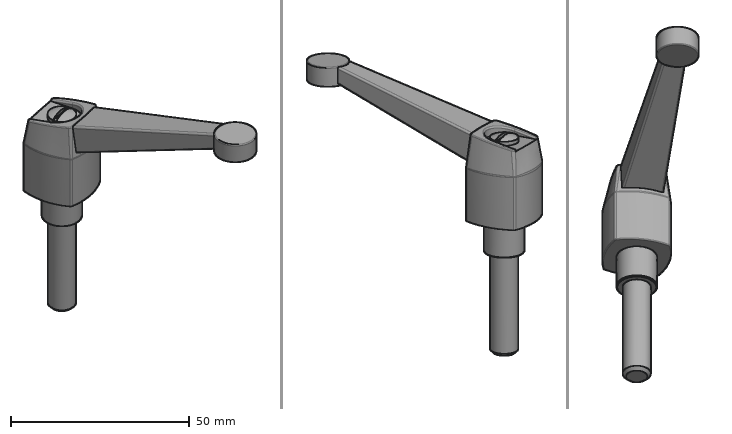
import cadquery as cq
import math


STUD_DIAMETER = 8.0
STUD_BOTTOM = -40.0
STUD_CHAMFER = 1.0
COLLAR_DIAMETER = 11.5
COLLAR_LENGTH = 10.0
COLLAR_CHAMFER = 0.3

HUB_HALF_WIDTH = 9.5
HUB_CORNER = 7.9
SHOULDER_HEIGHT = 16.0
TOP_HALF_LENGTH = 7.15
TOP_CORNER_Y = 7.0
TOP_BULGE_Y = 7.6
TOP_BULGE_RIGHT = 7.4
TOP_CENTER_HEIGHT = 24.65
HUB_TOP_LIMIT = 30.0
TOP_SLOPE = math.tan(math.radians(10.0))
HUB_CORNER_RADIUS = 1.0
SHOULDER_RADIUS = 2.0
SHOULDER_BAND = 0.1
HUB_EDGE_RADIUS = 0.3

POCKET_RADIUS = 5.6
POCKET_FLOOR = 22.9
POCKET_RIM_RADIUS = 0.5
RIM_CLEARANCE = 0.3
HEAD_DIAMETER = 8.1
HEAD_RIM_HEIGHT = 24.1
HEAD_CROWN_HEIGHT = 25.0
HEAD_EMBED = 1.0
SLOT_WIDTH = 1.1
SLOT_FLOOR = 23.9

ARM_ROOT_X = 6.6
ARM_ROOT_HALF_WIDTH = 6.1
ARM_ROOT_BOTTOM = 16.5
ARM_ROOT_TOP = 25.6
ARM_TIP_X = 52.0
ARM_TIP_HALF_WIDTH = 3.25
ARM_TIP_BOTTOM = 31.6
ARM_TIP_TOP = 36.85
ARM_EDGE_RADIUS = 0.6

KNOB_DIAMETER = 12.0
KNOB_X = 57.0
KNOB_BOTTOM = 31.0
KNOB_HEIGHT = 6.0
KNOB_EDGE_RADIUS = 0.3


def top_height(x):
    """Height of the sloping hub top at a given x."""
    return TOP_CENTER_HEIGHT + TOP_SLOPE * x


def bulged_wire(half_length, corner_y, bulge_left, bulge_right, bulge_y, height):
    """Four-sided closed outline with arc sides, lying on the surface z = height(x)."""
    corners = [
        (-half_length, -corner_y),
        (half_length, -corner_y),
        (half_length, corner_y),
        (-half_length, corner_y),
    ]
    middles = [(0, -bulge_y), (bulge_right, 0), (0, bulge_y), (-bulge_left, 0)]

    def lifted(point):
        x, y = point
        return cq.Vector(x, y, height(x))

    edges = []
    for i, middle in enumerate(middles):
        start = lifted(corners[i])
        end = lifted(corners[(i + 1) % len(corners)])
        if abs(middle[0]) == half_length:
            edges.append(cq.Edge.makeLine(start, end))
        else:
            edges.append(cq.Edge.makeThreePointArc(start, lifted(middle), end))
    outline = cq.Wire.assembleEdges(edges)
    return outline.fillet2D(HUB_CORNER_RADIUS, outline.Vertices())


def hub_section(z):
    return bulged_wire(
        HUB_CORNER, HUB_CORNER, HUB_HALF_WIDTH, HUB_HALF_WIDTH, HUB_HALF_WIDTH, lambda x: z
    )


def edges_between(z_low, z_high):
    """Selects the edges lying between two heights on the hub."""
    reach = 2 * HUB_HALF_WIDTH
    return cq.selectors.BoxSelector((-reach, -reach, z_low), (reach, reach, z_high), boundingbox=True)


def make_hub():
    top = bulged_wire(
        TOP_HALF_LENGTH, TOP_CORNER_Y, TOP_HALF_LENGTH, TOP_BULGE_RIGHT, TOP_BULGE_Y, top_height
    )
    shoulder = hub_section(SHOULDER_HEIGHT)
    lower = cq.Solid.makeLoft([hub_section(0), shoulder], True)
    upper = cq.Solid.makeLoft([shoulder, top], True)
    hub = cq.Workplane(lower).union(cq.Workplane(upper))
    shoulder_edges = edges_between(SHOULDER_HEIGHT - SHOULDER_BAND, SHOULDER_HEIGHT + SHOULDER_BAND)
    hub = hub.edges(shoulder_edges).fillet(SHOULDER_RADIUS)
    hub = hub.faces("<Z").edges().fillet(HUB_EDGE_RADIUS)
    hub = hub.edges(edges_between(POCKET_FLOOR, HUB_TOP_LIMIT)).fillet(HUB_EDGE_RADIUS)
    return hub


def make_pocket():
    outline_left = -2 * HUB_HALF_WIDTH
    return (
        cq.Workplane("XY", origin=(0, 0, POCKET_FLOOR))
        .moveTo(outline_left, -POCKET_RADIUS)
        .lineTo(0, -POCKET_RADIUS)
        .threePointArc((POCKET_RADIUS, 0), (0, POCKET_RADIUS))
        .lineTo(outline_left, POCKET_RADIUS)
        .close()
        .extrude(HUB_HALF_WIDTH)
    )


def make_screw_head():
    radius = HEAD_DIAMETER / 2
    crown = HEAD_CROWN_HEIGHT - HEAD_RIM_HEIGHT
    sphere_radius = (radius**2 + crown**2) / (2 * crown)
    sphere_center = HEAD_CROWN_HEIGHT - sphere_radius
    half_angle = math.asin(radius / sphere_radius) / 2
    arc_middle = (
        sphere_radius * math.sin(half_angle),
        sphere_center + sphere_radius * math.cos(half_angle),
    )
    base = POCKET_FLOOR - HEAD_EMBED
    head = (
        cq.Workplane("XZ")
        .moveTo(0, base)
        .lineTo(radius, base)
        .lineTo(radius, HEAD_RIM_HEIGHT)
        .threePointArc(arc_middle, (0, HEAD_CROWN_HEIGHT))
        .close()
        .revolve(360, (0, 0), (0, 1))
    )
    slot = (
        cq.Workplane("XY", origin=(0, 0, SLOT_FLOOR))
        .rect(SLOT_WIDTH, 2 * HEAD_DIAMETER)
        .extrude(HEAD_DIAMETER)
    )
    return head.cut(slot)


def arm_section(x, half_width, bottom, top):
    points = [
        (x, -half_width, bottom),
        (x, half_width, bottom),
        (x, half_width, top),
        (x, -half_width, top),
    ]
    return cq.Wire.makePolygon([cq.Vector(*p) for p in points], close=True)


def make_arm():
    root = arm_section(ARM_ROOT_X, ARM_ROOT_HALF_WIDTH, ARM_ROOT_BOTTOM, ARM_ROOT_TOP)
    tip = arm_section(ARM_TIP_X, ARM_TIP_HALF_WIDTH, ARM_TIP_BOTTOM, ARM_TIP_TOP)
    bar = cq.Workplane(cq.Solid.makeLoft([root, tip], True))
    return bar.faces("not(<X or >X)").edges("not(<X or >X)").fillet(ARM_EDGE_RADIUS)


def make_knob():
    return (
        cq.Workplane("XY", origin=(KNOB_X, 0, KNOB_BOTTOM))
        .circle(KNOB_DIAMETER / 2)
        .extrude(KNOB_HEIGHT)
        .edges()
        .fillet(KNOB_EDGE_RADIUS)
    )


def make_stud():
    collar = (
        cq.Workplane("XY").circle(COLLAR_DIAMETER / 2).extrude(-COLLAR_LENGTH)
        .faces("<Z").edges().chamfer(COLLAR_CHAMFER)
    )
    stud = (
        cq.Workplane("XY").circle(STUD_DIAMETER / 2).extrude(STUD_BOTTOM)
        .faces("<Z").edges().chamfer(STUD_CHAMFER)
    )
    return collar.union(stud)


def round_pocket_rim(hub):
    """Rounds the upper edge of the pocket's U-shaped wall."""
    reach = POCKET_RADIUS + RIM_CLEARANCE
    rim_box = cq.selectors.BoxSelector(
        (-TOP_HALF_LENGTH, -reach, POCKET_FLOOR + RIM_CLEARANCE),
        (reach, reach, HUB_TOP_LIMIT),
        boundingbox=True,
    )
    return hub.edges(rim_box).fillet(POCKET_RIM_RADIUS)


hub = round_pocket_rim(make_hub().union(make_arm()).cut(make_pocket()))
result = hub.union(make_screw_head()).union(make_knob()).union(make_stud())